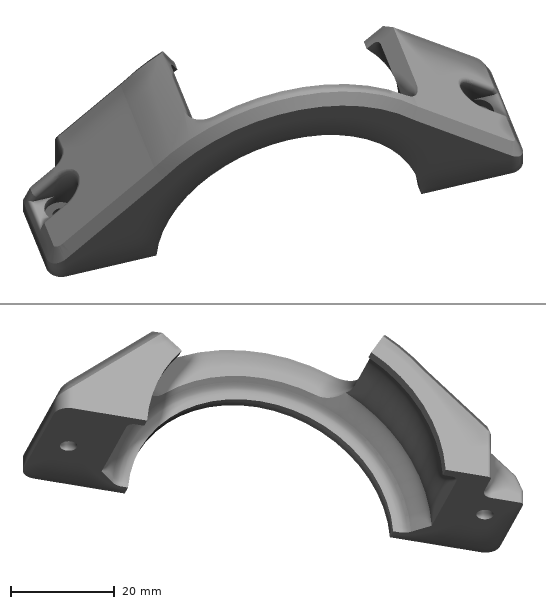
import cadquery as cq
import math

WIDTH = 26.0
LENGTH = 96.0
HEIGHT = 34.9
HALF_LENGTH = LENGTH / 2

ARCH_CENTER_Z = -1.9
ARCH_RADIUS = HEIGHT - ARCH_CENTER_Z
SLOPE_START_Y = 26.6
SLOPE_END_Z = 5.0
CORNER_RADIUS = 3.0
EDGE_CHAMFER = 1.9

FLANGE_THICKNESS = 1.9
FLANGE_RADIUS = 30.1
GROOVE_RADIUS = 33.3
GROOVE_ROUND = 1.4
CONE_START_X = 19.8
REAR_WALL_X = 23.8
REAR_ROUND = 2.9
REAR_RADIUS = 26.8

WINDOW_DEPTH = 22.1
WINDOW_ANGLE_BACK = 40.0
WINDOW_ANGLE_FRONT = 120.0
WINDOW_FILLET = 5.2
WINDOW_REACH = 2 * ARCH_RADIUS

NOTCH_X = 7.0
NOTCH_Y = -39.4
NOTCH_INNER_RADIUS = 2.0
NOTCH_RIM_RADIUS = 0.8

SCREW_X = WIDTH / 2
SCREW_Y = 42.0
SCREW_DIAMETER = 3.4
SEAT_DIAMETER = 6.5
SEAT_FLOOR_Z = 4.7
HEAD_FLOOR_Z = 2.8
SEAT_RIM_RADIUS = 0.9

TOLERANCE = 0.01


def is_near(value, target):
    return abs(value - target) < TOLERANCE


def outer_body():
    """Arch profile with rounded corners and a chamfer around the top rim."""
    slope_start_z = ARCH_CENTER_Z + math.sqrt(ARCH_RADIUS**2 - SLOPE_START_Y**2)
    body = (
        cq.Workplane("YZ")
        .moveTo(-HALF_LENGTH, 0)
        .lineTo(HALF_LENGTH, 0)
        .lineTo(HALF_LENGTH, SLOPE_END_Z)
        .lineTo(SLOPE_START_Y, slope_start_z)
        .threePointArc((0, HEIGHT), (-SLOPE_START_Y, slope_start_z))
        .lineTo(-HALF_LENGTH, SLOPE_END_Z)
        .close()
        .extrude(WIDTH)
        .edges("|Z")
        .fillet(CORNER_RADIUS)
    )
    rim = [
        edge
        for edge in body.edges("not |Z").vals()
        if edge.Center().z > TOLERANCE
        and not (edge.geomType() == "LINE" and is_near(edge.Center().z, slope_start_z))
    ]
    return body.newObject(rim).chamfer(EDGE_CHAMFER)


def cavity():
    """Stepped bore with a wide groove between the front flange and the rear wall."""
    groove_end = FLANGE_THICKNESS + GROOVE_ROUND
    mid = GROOVE_ROUND * (1 - math.sqrt(0.5))
    cone_foot_radius = GROOVE_RADIUS - (REAR_WALL_X - CONE_START_X)
    tangent = REAR_ROUND * math.tan(math.radians(22.5))
    step = tangent * math.sqrt(0.5)
    return (
        cq.Workplane("XY")
        .moveTo(0, 0)
        .lineTo(0, FLANGE_RADIUS)
        .lineTo(FLANGE_THICKNESS, FLANGE_RADIUS)
        .lineTo(FLANGE_THICKNESS, GROOVE_RADIUS - GROOVE_ROUND)
        .threePointArc(
            (FLANGE_THICKNESS + mid, GROOVE_RADIUS - mid),
            (groove_end, GROOVE_RADIUS),
        )
        .lineTo(CONE_START_X, GROOVE_RADIUS)
        .lineTo(REAR_WALL_X - step, cone_foot_radius + step)
        .tangentArcPoint((REAR_WALL_X, cone_foot_radius - tangent), relative=False)
        .lineTo(REAR_WALL_X, REAR_RADIUS)
        .lineTo(WIDTH, REAR_RADIUS)
        .lineTo(WIDTH, 0)
        .close()
        .revolve(360, (0, 0, 0), (1, 0, 0))
        .translate((0, 0, ARCH_CENTER_Z))
    )


def window():
    """Sector-shaped cutter, rounded where its sides meet its inner face."""
    back = math.radians(WINDOW_ANGLE_BACK)
    front = math.radians(WINDOW_ANGLE_FRONT)

    def side_edge(angle):
        return cq.selectors.ParallelDirSelector(cq.Vector(0, math.cos(angle), math.sin(angle)))

    return (
        cq.Workplane("YZ")
        .moveTo(0, 0)
        .lineTo(WINDOW_REACH * math.cos(back), WINDOW_REACH * math.sin(back))
        .lineTo(WINDOW_REACH * math.cos(front), WINDOW_REACH * math.sin(front))
        .close()
        .extrude(WINDOW_DEPTH)
        .translate((0, 0, ARCH_CENTER_Z))
        .faces(">X")
        .edges(cq.selectors.SumSelector(side_edge(back), side_edge(front)))
        .fillet(WINDOW_FILLET)
    )


def cut_notch(body):
    """Remove the front corner, round its upright edges and its rim."""
    cutter = cq.Workplane("XY").box(NOTCH_X, HALF_LENGTH + NOTCH_Y, HEIGHT, centered=False)
    body = body.cut(cutter.translate((0, -HALF_LENGTH, 0)))

    def upright(x, y):
        return [
            edge
            for edge in body.edges("|Z").vals()
            if is_near(edge.Center().x, x) and is_near(edge.Center().y, y)
        ]

    body = body.newObject(upright(NOTCH_X, NOTCH_Y)).fillet(NOTCH_INNER_RADIUS)
    rim = upright(0, NOTCH_Y) + upright(NOTCH_X, -HALF_LENGTH)
    for edge in body.edges("not |Z").vals():
        center = edge.Center()
        on_notch = center.x < NOTCH_X + TOLERANCE and center.y < NOTCH_Y + TOLERANCE
        if on_notch and center.z > TOLERANCE:
            rim.append(edge)
    return body.newObject(rim).fillet(NOTCH_RIM_RADIUS)


def cut_screw_seat(body, side):
    """Cut one open-ended seat and its screw hole; side is +1 or -1 along Y."""
    center_y = side * SCREW_Y
    reach = HALF_LENGTH - SCREW_Y
    seat_plane = cq.Workplane("XY", origin=(SCREW_X, center_y, SEAT_FLOOR_Z))
    seat = seat_plane.circle(SEAT_DIAMETER / 2).extrude(HEIGHT)
    slot = seat_plane.center(0, side * reach / 2).rect(SEAT_DIAMETER, reach).extrude(HEIGHT)
    body = body.cut(seat.union(slot))

    half_width = SEAT_DIAMETER / 2
    rim = []
    for edge in body.edges("not |Z").vals():
        center = edge.Center()
        in_seat = abs(center.x - SCREW_X) < half_width + TOLERANCE and side * center.y > SCREW_Y - half_width
        on_end = side * center.y > HALF_LENGTH - EDGE_CHAMFER
        above_floor = center.z > SEAT_FLOOR_Z + TOLERANCE
        lip = on_end and is_near(center.z, SEAT_FLOOR_Z) and is_near(center.x, SCREW_X)
        if in_seat and (above_floor or lip):
            rim.append(edge)
    body = body.newObject(rim).fillet(SEAT_RIM_RADIUS)

    head = cq.Workplane("XY", origin=(SCREW_X, center_y, HEAD_FLOOR_Z))
    head = head.circle(SEAT_DIAMETER / 2).extrude(SEAT_FLOOR_Z - HEAD_FLOOR_Z)
    hole = cq.Workplane("XY", origin=(SCREW_X, center_y, 0)).circle(SCREW_DIAMETER / 2).extrude(HEIGHT)
    return body.cut(head).cut(hole)


result = outer_body()
result = result.cut(cavity()).cut(window())
for end in (-1, 1):
    result = cut_screw_seat(result, end)
result = cut_notch(result)